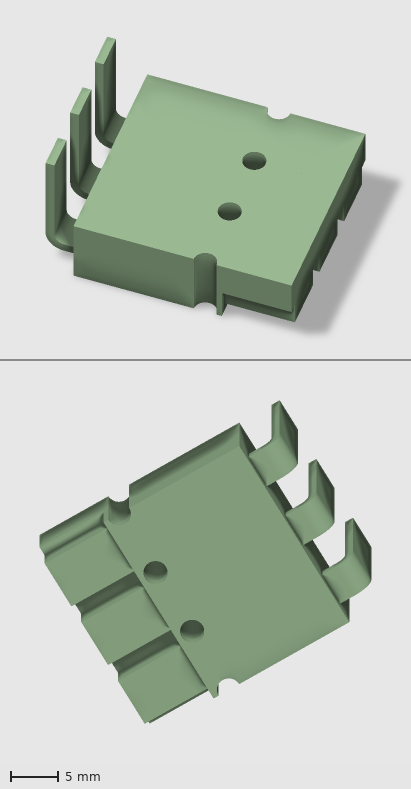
import cadquery as cq

total_length = 28.45
row_width = 22.87
total_height = 14.48
module_count = 3
module_pitch = row_width / module_count

terminal_reach = 3.85
terminal_thickness = 1.0
terminal_width = module_pitch / 2
terminal_underside = 1.28
bend_inner_radius = 1.05
bend_outer_radius = bend_inner_radius + terminal_thickness

block_length = total_length - terminal_reach
block_height = 7.9
step_length = 7.88
step_height = 3.67

tongue_underside = 0.95
tongue_side_inset = 1.02
tongue_width = module_pitch - 2 * tongue_side_inset

passage_diameter = 2.55
passage_x = 14.85


def make_block():
    """Block with its rear face at X = 0, stepped up underneath at the front."""
    step_x = block_length - step_length
    return (
        cq.Workplane("XZ")
        .moveTo(0, 0)
        .lineTo(step_x, 0)
        .lineTo(step_x, step_height)
        .lineTo(block_length, step_height)
        .lineTo(block_length, block_height)
        .lineTo(0, block_height)
        .close()
        .extrude(module_pitch / 2, both=True)
    )


def make_tongue():
    """Tongue hanging below the stepped front end, narrower than the block."""
    return cq.Workplane("XY").box(
        step_length,
        tongue_width,
        step_height - tongue_underside,
        centered=(False, True, False),
    ).translate((block_length - step_length, 0, tongue_underside))


def make_terminal():
    """Flat strip leaving the rear face and bent upright."""
    outer_x = -terminal_reach
    inner_x = outer_x + terminal_thickness
    bend_x = outer_x + bend_outer_radius
    bend_z = terminal_underside + bend_outer_radius
    strip_top = terminal_underside + terminal_thickness
    return (
        cq.Workplane("XZ")
        .moveTo(0, terminal_underside)
        .lineTo(bend_x, terminal_underside)
        .radiusArc((outer_x, bend_z), bend_outer_radius)
        .lineTo(outer_x, total_height)
        .lineTo(inner_x, total_height)
        .lineTo(inner_x, bend_z)
        .radiusArc((bend_x, strip_top), -bend_inner_radius)
        .lineTo(0, strip_top)
        .close()
        .extrude(terminal_width / 2, both=True)
    )


def make_passages():
    """Cutters for the half-round grooves in both side faces of a module."""
    side_centers = [(passage_x, side * module_pitch / 2) for side in (-1, 1)]
    return (
        cq.Workplane("XY")
        .pushPoints(side_centers)
        .circle(passage_diameter / 2)
        .extrude(block_height)
    )


def make_module(center_y):
    """One complete module centred at the given Y."""
    module = make_block().union(make_tongue()).union(make_terminal())
    return module.cut(make_passages()).translate((0, center_y, 0))


modules = []
for index in range(module_count):
    row_position = index - (module_count - 1) / 2
    modules.append(make_module(row_position * module_pitch))

result = cq.Compound.makeCompound([module.val() for module in modules])